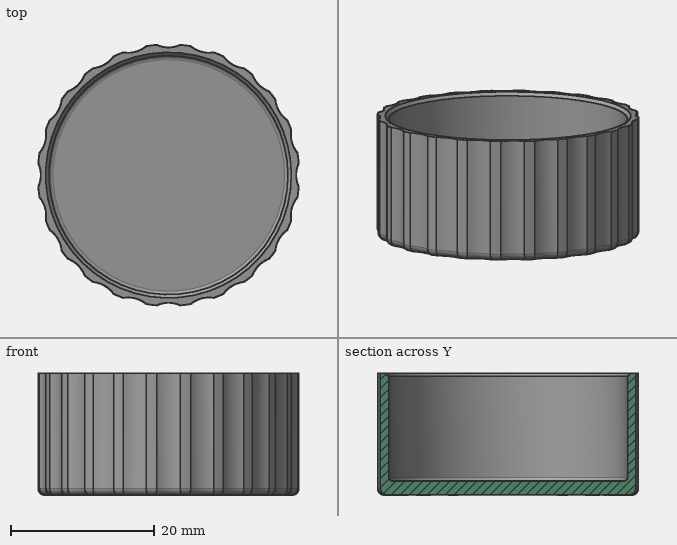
import cadquery as cq
import math

height = 17.0
crest_radius = 18.25
bottom_edge_radius = 0.98

flute_count = 24
valley_radius = 17.8
flute_half_angle = 5.2

bore_radius = 33.3 / 2
floor_thickness = 2.0
floor_fillet = 0.5
mouth_radius = 17.12
mouth_depth = 0.47


def polar_point(radius, angle):
    """Point at a radius and an angle in degrees from +X."""
    turn = math.radians(angle)
    return (radius * math.cos(turn), radius * math.sin(turn))


def fluted_body():
    """Solid cup blank: concave flutes alternating with round crests."""
    pitch = 360 / flute_count
    outline = cq.Workplane("XY").moveTo(*polar_point(crest_radius, -flute_half_angle))
    for index in range(flute_count):
        valley = index * pitch
        crest = valley + pitch / 2
        next_edge = valley + pitch - flute_half_angle
        outline = outline.threePointArc(
            polar_point(valley_radius, valley),
            polar_point(crest_radius, valley + flute_half_angle),
        )
        outline = outline.threePointArc(
            polar_point(crest_radius, crest),
            polar_point(crest_radius, next_edge),
        )
    blank = outline.close().extrude(height)
    return blank.faces("<Z").edges().fillet(bottom_edge_radius)


def cavity():
    """Round pocket with a filleted floor and a conical mouth."""
    bore = (
        cq.Workplane("XY")
        .workplane(offset=floor_thickness)
        .circle(bore_radius)
        .extrude(height - floor_thickness)
        .faces("<Z")
        .edges()
        .fillet(floor_fillet)
    )
    mouth = cq.Workplane(
        cq.Solid.makeCone(
            bore_radius,
            mouth_radius,
            mouth_depth,
            pnt=cq.Vector(0, 0, height - mouth_depth),
        )
    )
    return bore.union(mouth)


result = fluted_body().cut(cavity())